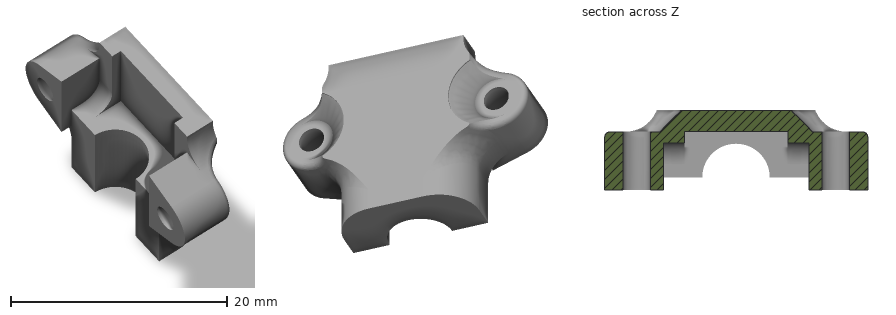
import cadquery as cq
import math

overall_width = 24.38
body_half_width = 6.7
top_z = 6.49
bottom_z = -10.6
body_depth = 6.25
overall_depth = 7.4
plate_depth = 3.0
back_corner_radius = 4.0

ear_radius = 3.0
ear_hole_radius = 1.25
ear_hole_x = overall_width / 2 - ear_radius
ear_root_half_height = 4.0
ear_back_depth = 2.0
ear_edge_radius = 0.49
root_fillet_radius = 3.0
blend_radius = 3.0
blend_center_x = 10.17
recess_radius = 4.0
recess_cone_height = 1.88

pocket_half_width = 4.75
pocket_floor_depth = 2.0
ledge_z = -1.49
ledge_fillet_radius = 2.0
channel_radius = 3.12

stock_behind = 4.88

root_to_hole = ear_hole_x - body_half_width
root_distance = math.hypot(root_to_hole, ear_root_half_height)
tangent_angle = (
    math.pi - math.atan2(ear_root_half_height, root_to_hole) - math.acos(ear_radius / root_distance)
)
tangent_x = ear_hole_x + ear_radius * math.cos(tangent_angle)
tangent_z = ear_radius * math.sin(tangent_angle)
flank_slope = (ear_root_half_height - tangent_z) / (tangent_x - body_half_width)
flank_center_z = ear_root_half_height + flank_slope * body_half_width


def block(x_min, x_max, y_min, y_max, z_min, z_max):
    """Box given by its limits."""
    return cq.Workplane("XY").box(
        x_max - x_min, y_max - y_min, z_max - z_min, centered=False
    ).translate((x_min, y_min, z_min))


def prism(outline, y_min, y_max):
    """Extrude an XZ outline between two Y positions."""
    return outline.extrude(y_max - y_min).translate((0, y_max, 0))


def round_end(outline):
    """Continue an outline around the ear, from upper to lower flank."""
    return (
        outline.lineTo(tangent_x, tangent_z)
        .threePointArc((overall_width / 2, 0), (tangent_x, -tangent_z))
    )


def half_shell():
    """Right half of the body with its ear root faired into the body sides."""
    upper = cq.Workplane("XZ").moveTo(0, top_z).lineTo(body_half_width, top_z)
    upper = round_end(upper.lineTo(body_half_width, ear_root_half_height))
    upper = prism(upper.lineTo(0, -flank_center_z).close(), -body_depth, stock_behind)
    lower = block(0, body_half_width, -body_depth, 0, bottom_z, 0)
    lower = lower.edges("|Z and >X and >Y").fillet(back_corner_radius)
    shell = upper.union(lower)
    upper_root = cq.selectors.NearestToPointSelector((body_half_width, 0, ear_root_half_height))
    lower_root = cq.selectors.NearestToPointSelector(
        (body_half_width, -(body_depth + back_corner_radius) / 2, -ear_root_half_height)
    )
    shell = shell.edges(upper_root).fillet(root_fillet_radius)
    return shell.edges(lower_root).fillet(root_fillet_radius)


def blend_cutter():
    """Space behind the ear: a flat back that sweeps up to the body's back face."""
    center_y = blend_radius - ear_back_depth
    height = top_z - bottom_z
    cylinder = (
        cq.Workplane("XY", origin=(blend_center_x, center_y, bottom_z)).circle(blend_radius).extrude(height)
    )
    flat = block(blend_center_x, overall_width, -ear_back_depth, center_y, bottom_z, top_z)
    behind = block(
        blend_center_x - blend_radius, overall_width, center_y, stock_behind, bottom_z, top_z
    )
    return cylinder.union(flat).union(behind)


def round_ear_back(shell):
    """Round the edge around the ear's back, up into the blend."""
    ear_tip = cq.selectors.NearestToPointSelector((overall_width / 2, -ear_back_depth, 0))
    return shell.edges(ear_tip).fillet(ear_edge_radius)


def screw_recess():
    """Round clearance around the ear hole, narrowing as a 45 degree cone towards the ear back."""
    recess = cq.Workplane("XZ", origin=(ear_hole_x, stock_behind, 0)).circle(recess_radius)
    recess = recess.extrude(stock_behind + ear_back_depth)
    return recess.faces("<Y").edges().chamfer(recess_cone_height)


def ear_front():
    """Ear outside the body side, with its flat inner face, from the front to the ear back edge."""
    outline = round_end(cq.Workplane("XZ").moveTo(body_half_width, ear_root_half_height))
    outline = outline.lineTo(body_half_width, -ear_root_half_height).close()
    return prism(outline, -overall_depth, -plate_depth)


def ledge_fillet():
    """Concave corner between the plate and the ledge, beside the pocket."""
    fillet_top_z = ledge_z + ledge_fillet_radius
    fillet_front_y = -plate_depth - ledge_fillet_radius
    corner = block(pocket_half_width, body_half_width, fillet_front_y, -plate_depth, ledge_z, fillet_top_z)
    hollow = (
        cq.Workplane("YZ", origin=(pocket_half_width, fillet_front_y, fillet_top_z))
        .circle(ledge_fillet_radius)
        .extrude(body_half_width - pocket_half_width)
    )
    return corner.cut(hollow)


def half_part():
    """Right half of the finished part."""
    half = round_ear_back(half_shell().cut(blend_cutter()))
    half = half.cut(screw_recess())
    half = half.cut(block(0, overall_width, 0, stock_behind, bottom_z, top_z))
    half = half.cut(block(0, body_half_width, -body_depth, -plate_depth, ledge_z, top_z))
    half = half.cut(block(body_half_width, overall_width, -body_depth, -plate_depth, 0, top_z))
    half = half.cut(block(0, pocket_half_width, -plate_depth, -pocket_floor_depth, ledge_z, top_z))
    half = half.union(ledge_fillet()).union(ear_front())
    hole = (
        cq.Workplane("XZ").center(ear_hole_x, 0).circle(ear_hole_radius).extrude(overall_depth)
    )
    channel = (
        cq.Workplane("XY", origin=(0, -body_depth, bottom_z)).circle(channel_radius)
        .extrude(ledge_z - bottom_z)
    )
    return half.cut(hole).cut(channel)


right_half = half_part()
result = right_half.union(right_half.mirror("YZ")).clean()